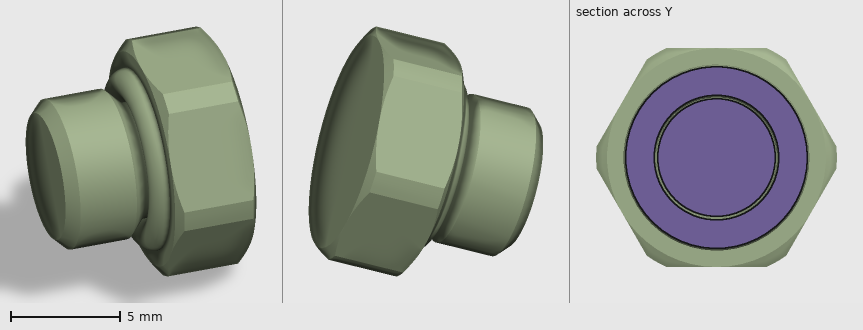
import cadquery as cq
import math


hexagon_sides = 6
hexagon_turn = 30.0
across_flats = 10.0
corner_diameter = 11.0
head_thickness = 3.9
head_chamfer_angle = 30.0

ring_outer_diameter = 8.5
ring_section_radius = 0.75

total_length = 8.5
shank_diameter = 7.0
shank_chamfer = 0.55
neck_diameter = 5.4
neck_fillet_radius = 0.35
undercut_end = 1.35
undercut_taper = 45.0

shank_length = total_length - head_thickness
shank_radius = shank_diameter / 2
neck_radius = neck_diameter / 2
undercut_angle = math.radians(undercut_taper)
neck_end = undercut_end - (shank_radius - neck_radius) / math.tan(undercut_angle)
neck_length = neck_end - neck_fillet_radius * math.tan(undercut_angle / 2)
ring_centre_radius = ring_outer_diameter / 2 - ring_section_radius


def turned(profile):
    """Revolve a closed (radius, Y) profile about the Y axis."""
    return profile.close().revolve(360, (0, 0, 0), (0, 1, 0))


def make_head():
    """Hexagon with flats facing +Z and -Z, turned to round corners and chamfered on both faces."""
    hexagon = (
        cq.Workplane("XZ")
        .transformed(rotate=(0, 0, hexagon_turn))
        .polygon(hexagon_sides, across_flats, circumscribed=True)
        .extrude(-head_thickness)
    )
    face_radius = across_flats / 2
    corner_radius = corner_diameter / 2
    chamfer_depth = (corner_radius - face_radius) * math.tan(math.radians(head_chamfer_angle))
    blank = turned(
        cq.Workplane("XY")
        .lineTo(face_radius, 0)
        .lineTo(corner_radius, chamfer_depth)
        .lineTo(corner_radius, head_thickness - chamfer_depth)
        .lineTo(face_radius, head_thickness)
        .lineTo(0, head_thickness)
    )
    return hexagon.intersect(blank)


def make_shank():
    """Narrow neck, tapered undercut blended into it, cylindrical shank and chamfered tip."""
    fillet_end = (
        neck_radius + neck_fillet_radius * (1 - math.cos(undercut_angle)),
        -neck_length - neck_fillet_radius * math.sin(undercut_angle),
    )
    return turned(
        cq.Workplane("XY")
        .lineTo(neck_radius, 0)
        .lineTo(neck_radius, -neck_length)
        .tangentArcPoint(fillet_end, relative=False)
        .lineTo(shank_radius, -undercut_end)
        .lineTo(shank_radius, shank_chamfer - shank_length)
        .lineTo(shank_radius - shank_chamfer, -shank_length)
        .lineTo(0, -shank_length)
    )


def make_ring():
    """Exposed half of the sealing ring."""
    return turned(
        cq.Workplane("XY")
        .moveTo(ring_centre_radius - ring_section_radius, 0)
        .threePointArc(
            (ring_centre_radius, -ring_section_radius),
            (ring_centre_radius + ring_section_radius, 0),
        )
    )


result = make_head().union(make_shank()).union(make_ring())